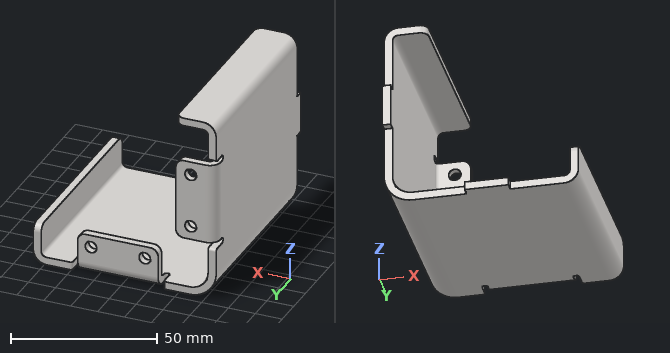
import cadquery as cq

side = 68.0
total_depth = 73.0
thickness = 3.0
front_tab_length = 3.0
front_tab_width = 15.3
depth = total_depth - front_tab_length

corner_radius = 10.0
lip_bend_radius = 5.0
flange_bend_radius = 4.0
rim_height = 15.05
rim_corner_radius = 3.0

flange_width = 30.0
hole_diameter = 4.2
hole_spacing = 20.0
floor_hole_height = 10.5
upright_hole_height = 9.5
slot_width = 2.0
slot_depth = 6.0
slot_mouth_radius = 1.0

flat_start = corner_radius
flat_end = side - lip_bend_radius
flat_center = (flat_start + flat_end) / 2


def box(x_range, y_range, z_range):
    """Box spanning the given (start, end) ranges."""
    starts, ends = zip(x_range, y_range, z_range)
    sizes = [end - start for start, end in zip(starts, ends)]
    return cq.Workplane("XY").box(*sizes, centered=False).translate(starts)


def bend(quadrant, outer_radius, axis_start, axis_end):
    """Quarter tube between two axis points, kept where it overlaps the quadrant box."""
    start = cq.Vector(*axis_start)
    axis = cq.Vector(*axis_end) - start
    outer = cq.Solid.makeCylinder(outer_radius, axis.Length, start, axis)
    inner = cq.Solid.makeCylinder(outer_radius - thickness, axis.Length, start, axis)
    return quadrant.intersect(cq.Workplane(outer.cut(inner)))


def make_corner_bend():
    """Large bend along Y that joins the two walls."""
    quadrant = box((0, corner_radius), (0, depth), (0, corner_radius))
    return bend(
        quadrant,
        corner_radius,
        (corner_radius, 0, corner_radius),
        (corner_radius, depth, corner_radius),
    )


def make_lip():
    """Upturned lip along the outer edge of the floor, with rounded top corners."""
    upright = box((side - thickness, side), (0, depth), (lip_bend_radius, rim_height))
    upright = upright.edges("|X and >Z").fillet(rim_corner_radius)
    quadrant = box((flat_end, side), (0, depth), (0, lip_bend_radius))
    curve = bend(
        quadrant,
        lip_bend_radius,
        (flat_end, 0, lip_bend_radius),
        (flat_end, depth, lip_bend_radius),
    )
    return upright.union(curve)


def make_relief_slot(direction):
    """Round-ended slot beside the flange, with its outer mouth corner rounded."""
    slot_radius = slot_width / 2
    slot_x = flat_center + direction * (flange_width + slot_width) / 2
    outer_x = slot_x + direction * slot_radius
    end_y = depth - slot_depth + slot_radius
    slot = box((slot_x - slot_radius, slot_x + slot_radius), (end_y, depth), (0, thickness))
    slot_end = cq.Workplane("XY").center(slot_x, end_y).circle(slot_radius).extrude(thickness)
    mouth = (
        cq.Workplane("XY")
        .moveTo(outer_x, depth)
        .lineTo(outer_x + direction * slot_mouth_radius, depth)
        .radiusArc((outer_x, depth - slot_mouth_radius), -direction * slot_mouth_radius)
        .close()
        .extrude(thickness)
    )
    return slot.union(slot_end).union(mouth)


def make_flange(hole_height):
    """Upturned back flange with rounded top corners and two holes."""
    x_range = (flat_center - flange_width / 2, flat_center + flange_width / 2)
    bend_y = depth - flange_bend_radius
    upright = box(x_range, (depth - thickness, depth), (flange_bend_radius, rim_height))
    upright = upright.edges("|Y and >Z").fillet(rim_corner_radius)
    quadrant = box(x_range, (bend_y, depth), (0, flange_bend_radius))
    curve = bend(
        quadrant,
        flange_bend_radius,
        (x_range[0], bend_y, flange_bend_radius),
        (x_range[1], bend_y, flange_bend_radius),
    )
    hole_points = [(flat_center + sign * hole_spacing / 2, hole_height) for sign in (-1, 1)]
    holes = cq.Workplane("XZ").pushPoints(hole_points).circle(hole_diameter / 2).extrude(-depth)
    return upright.union(curve).cut(holes)


def make_wall(hole_height):
    """Horizontal wall with its front tab, lip, relief slots and back flange."""
    plate = box((flat_start, flat_end), (0, depth), (0, thickness))
    flange_footprint = box(
        (flat_center - flange_width / 2, flat_center + flange_width / 2),
        (depth - flange_bend_radius, depth),
        (0, thickness),
    )
    plate = plate.cut(flange_footprint)
    for direction in (-1, 1):
        plate = plate.cut(make_relief_slot(direction))
    front_tab = box(
        (flat_center - front_tab_width / 2, flat_center + front_tab_width / 2),
        (-front_tab_length, 0),
        (0, thickness),
    )
    return plate.union(front_tab).union(make_lip()).union(make_flange(hole_height))


floor = make_wall(floor_hole_height)
upright_wall = make_wall(upright_hole_height).mirror((1, 0, -1))
result = make_corner_bend().union(floor).union(upright_wall)